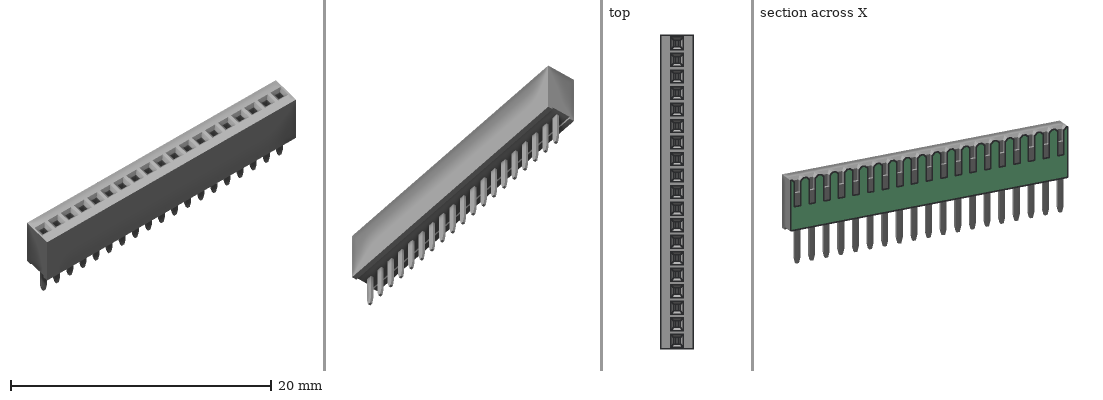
import cadquery as cq

contact_count = 19
housing_length = 24.13
housing_width = 2.53
housing_height = 4.42
contact_pitch = housing_length / contact_count

foot_width = 0.43
channel_depth = 0.2
channel_width = housing_width - 2 * foot_width

funnel_mouth = 1.0
hole_size = 0.5
funnel_depth = 0.25
hole_floor_z = 2.17

total_height = 7.0
blade_thickness = 0.22
blade_width = hole_size
blade_top_z = 3.25
tail_bottom_z = housing_height - total_height
tip_width = 0.25
tip_length = 0.48

contact_positions = [
    (0, (index - (contact_count - 1) / 2) * contact_pitch) for index in range(contact_count)
]


def make_housing():
    """Bar with the relief channel cut along its underside."""
    bar = cq.Workplane("XY").box(
        housing_width, housing_length, housing_height, centered=(True, True, False)
    )
    channel = cq.Workplane("XY").box(
        channel_width, housing_length, channel_depth, centered=(True, True, False)
    )
    return bar.cut(channel)


def make_socket():
    """Volume removed for one socket: the funnel and the hole below it."""
    funnel = (
        cq.Workplane("XY", origin=(0, 0, housing_height))
        .rect(funnel_mouth, funnel_mouth)
        .workplane(offset=-funnel_depth)
        .rect(hole_size, hole_size)
        .loft()
    )
    hole = (
        cq.Workplane("XY", origin=(0, 0, hole_floor_z))
        .rect(hole_size, hole_size)
        .extrude(housing_height - funnel_depth - hole_floor_z)
    )
    return funnel.union(hole)


def make_contact():
    """One flat blade whose lower end narrows to a blunt tip."""
    shoulder_z = tail_bottom_z + tip_length
    return (
        cq.Workplane("YZ")
        .moveTo(-blade_width / 2, blade_top_z)
        .lineTo(-blade_width / 2, shoulder_z)
        .lineTo(-tip_width / 2, tail_bottom_z)
        .lineTo(tip_width / 2, tail_bottom_z)
        .lineTo(blade_width / 2, shoulder_z)
        .lineTo(blade_width / 2, blade_top_z)
        .close()
        .extrude(blade_thickness / 2, both=True)
    )


def repeat_per_contact(shape):
    """Copies of a shape at every contact position along the bar."""
    return cq.Workplane("XY").pushPoints(contact_positions).eachpoint(
        lambda location: shape.val().located(location)
    )


sockets = repeat_per_contact(make_socket())
contacts = repeat_per_contact(make_contact())
result = make_housing().cut(sockets).union(contacts)